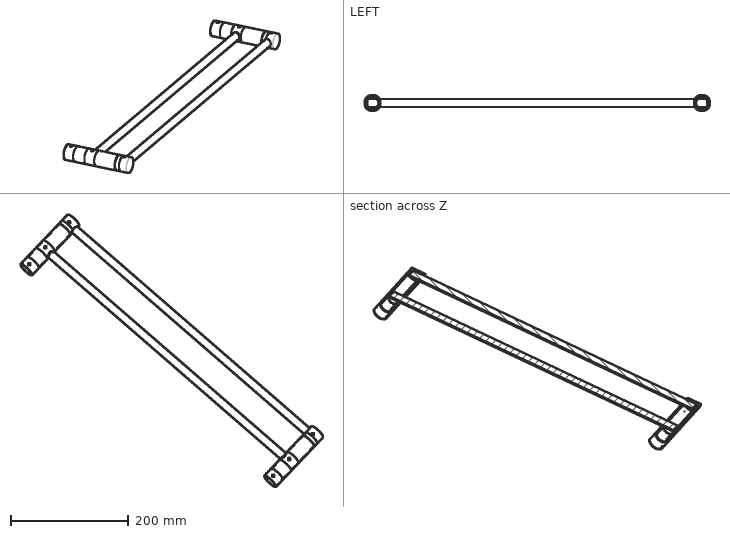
import cadquery as cq

LENGTH = 590.0
WIDTH = 120.0
OUTER_DIAMETER = 28.0
OUTER_RADIUS = OUTER_DIAMETER / 2
END_Y = LENGTH / 2 - OUTER_RADIUS
LEFT_X = -WIDTH / 2

SLEEVE_LENGTH = 97.5
SLEEVE_BORE = 25.0
EDGE_FILLET = 0.5

CAP_LENGTH = WIDTH - SLEEVE_LENGTH
CAP_SOCKET_DEPTH = 7.5

BUSHING_BORE = 20.0
SOCKET_DEPTH = 17.5
SHORT_BUSHING_LENGTH = 21.0

RAIL_DIAMETER = 14.0
INNER_RAIL_X = 48.5
OUTER_RAIL_X = SLEEVE_LENGTH + CAP_LENGTH / 2
RAIL_PAST_AXIS = 9.0
RAIL_LENGTH = 2 * (END_Y + RAIL_PAST_AXIS)
RAIL_GAP = 2 * (INNER_RAIL_X - SOCKET_DEPTH - SHORT_BUSHING_LENGTH)
LONG_BUSHING_START = SOCKET_DEPTH + SHORT_BUSHING_LENGTH + RAIL_GAP
LONG_BUSHING_LENGTH = SLEEVE_LENGTH + CAP_SOCKET_DEPTH - LONG_BUSHING_START

SCREW_DIAMETER = 4.0
SOCKET_SCREW_X = 7.5
CAP_SCREW_DEPTH = 3.5


def rod_along_x(end_y, start, length, diameter):
    """Cylinder on the axis of one end; start is the distance from its open -X face."""
    plane = cq.Plane(origin=(LEFT_X + start, end_y, 0), xDir=(0, 0, 1), normal=(1, 0, 0))
    return cq.Workplane(plane).circle(diameter / 2).extrude(length)


def make_rail(rail_x):
    """Round rail that reaches past the axes of both ends."""
    plane = cq.Plane(origin=(LEFT_X + rail_x, RAIL_LENGTH / 2, 0), xDir=(0, 0, 1), normal=(0, -1, 0))
    return cq.Workplane(plane).circle(RAIL_DIAMETER / 2).extrude(RAIL_LENGTH)


def screw_hole(end_y, hole_x, depth):
    """Cutter for a set screw hole going down from the top of an end."""
    plane = cq.Workplane("XY", origin=(LEFT_X + hole_x, end_y, OUTER_RADIUS - depth))
    return plane.circle(SCREW_DIAMETER / 2).extrude(depth)


def make_sleeve(end_y, inner_rail):
    sleeve = rod_along_x(end_y, 0, SLEEVE_LENGTH, OUTER_DIAMETER)
    sleeve = sleeve.faces(">X").edges().fillet(EDGE_FILLET)
    sleeve = sleeve.cut(rod_along_x(end_y, 0, SLEEVE_LENGTH, SLEEVE_BORE))
    for hole_x in (SOCKET_SCREW_X, INNER_RAIL_X):
        sleeve = sleeve.cut(screw_hole(end_y, hole_x, OUTER_RADIUS))
    return sleeve.cut(inner_rail)


def make_cap(end_y, outer_rail):
    cap = rod_along_x(end_y, SLEEVE_LENGTH, CAP_LENGTH, OUTER_DIAMETER)
    cap = cap.faces(">X").edges().fillet(EDGE_FILLET)
    cap = cap.cut(rod_along_x(end_y, SLEEVE_LENGTH, CAP_SOCKET_DEPTH, SLEEVE_BORE))
    cap = cap.cut(screw_hole(end_y, OUTER_RAIL_X, CAP_SCREW_DEPTH))
    return cap.cut(outer_rail)


def make_bushing(end_y, start, length):
    bushing = rod_along_x(end_y, start, length, SLEEVE_BORE)
    return bushing.cut(rod_along_x(end_y, start, length, BUSHING_BORE))


inner_rail = make_rail(INNER_RAIL_X)
outer_rail = make_rail(OUTER_RAIL_X)

bodies = [inner_rail.val(), outer_rail.val()]
for end_y in (-END_Y, END_Y):
    sleeve = make_sleeve(end_y, inner_rail)
    cap = make_cap(end_y, outer_rail)
    short_bushing = make_bushing(end_y, SOCKET_DEPTH, SHORT_BUSHING_LENGTH)
    long_bushing = make_bushing(end_y, LONG_BUSHING_START, LONG_BUSHING_LENGTH).cut(outer_rail)
    bodies += [sleeve.val(), cap.val(), short_bushing.val(), long_bushing.val()]

result = cq.Compound.makeCompound(bodies)